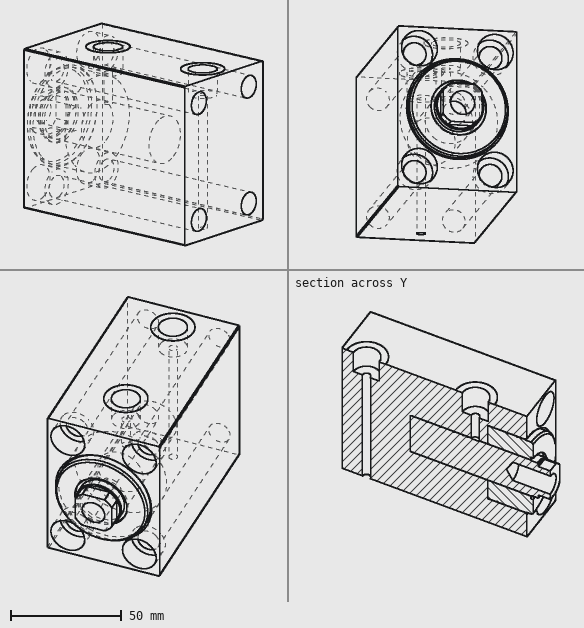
import cadquery as cq

TOTAL_LENGTH = 107.0
ROD_PROTRUSION = 12.0
HOUSING_LENGTH = TOTAL_LENGTH - ROD_PROTRUSION
HOUSING_WIDTH = 55.0
HOUSING_HEIGHT = 75.0
EDGE_CHAMFER = 0.5

BOLT_SPACING_Y = 35.0
BOLT_SPACING_Z = 55.0
BOLT_DIAMETER = 10.5
BOLT_HEAD_DIAMETER = 16.5
BOLT_HEAD_DEPTH = 10.7

FRONT_PORT_X = 26.5
REAR_PORT_X = 82.5
PORT_DIAMETER = 13.2
PORT_DEPTH = 12.0
PORT_DRILL_DIAMETER = 4.0
SPOTFACE_DIAMETER = 20.0
SPOTFACE_DEPTH = 0.1

GLAND_DIAMETER = 45.0
GLAND_PROTRUSION = 3.2
GLAND_DEPTH = 20.0
GLAND_CHAMFER = 1.0
WIPER_RECESS_DIAMETER = 25.5
WIPER_RECESS_DEPTH = 1.3
BORE_CHAMFER = 1.0

ROD_DIAMETER = 22.0
ROD_DEPTH = 59.9
ROD_SHOULDER_CHAMFER = 0.5
HEAD_LENGTH = 6.0
HEAD_ACROSS_FLATS = 18.0
HEAD_CORNER_DIAMETER = ROD_DIAMETER - 2 * ROD_SHOULDER_CHAMFER
ROD_HOLE_DIAMETER = 11.0
ROD_HOLE_DEPTH = 19.3
DRILL_POINT_LENGTH = 3.2


def rod_axis_cylinder(diameter, start, end):
    """Cylinder on the X axis between two X positions."""
    return cq.Workplane("YZ", origin=(start, 0, 0)).circle(diameter / 2).extrude(end - start)


def vertical_cylinder(diameter, x, bottom, top):
    """Cylinder parallel to Z at the given X position."""
    return cq.Workplane("XY", origin=(x, 0, bottom)).circle(diameter / 2).extrude(top - bottom)


def cut_bolt_holes(body):
    front_face = cq.Workplane("YZ").rect(BOLT_SPACING_Y, BOLT_SPACING_Z, forConstruction=True).vertices()
    through_holes = front_face.circle(BOLT_DIAMETER / 2).extrude(HOUSING_LENGTH)
    head_recesses = front_face.circle(BOLT_HEAD_DIAMETER / 2).extrude(BOLT_HEAD_DEPTH)
    return body.cut(through_holes).cut(head_recesses)


def cut_port(body, x, drill_bottom):
    top = HOUSING_HEIGHT / 2
    body = body.cut(vertical_cylinder(SPOTFACE_DIAMETER, x, top - SPOTFACE_DEPTH, top))
    body = body.cut(vertical_cylinder(PORT_DIAMETER, x, top - PORT_DEPTH, top))
    return body.cut(vertical_cylinder(PORT_DRILL_DIAMETER, x, drill_bottom, top))


def make_housing():
    block = cq.Workplane("YZ").rect(HOUSING_WIDTH, HOUSING_HEIGHT).extrude(HOUSING_LENGTH)
    block = block.edges("|X").chamfer(EDGE_CHAMFER)
    block = cut_bolt_holes(block)
    block = cut_port(block, FRONT_PORT_X, drill_bottom=0)
    block = cut_port(block, REAR_PORT_X, drill_bottom=-HOUSING_HEIGHT / 2)
    block = block.cut(rod_axis_cylinder(GLAND_DIAMETER, 0, GLAND_DEPTH))
    block = block.cut(rod_axis_cylinder(ROD_DIAMETER, 0, ROD_DEPTH))
    bore_radius = GLAND_DIAMETER / 2
    mouth_radius = bore_radius + BORE_CHAMFER
    lead_in = cq.Solid.makeCone(
        mouth_radius, bore_radius, BORE_CHAMFER, cq.Vector(0, 0, 0), cq.Vector(1, 0, 0)
    )
    return block.cut(cq.Workplane(lead_in))


def make_gland():
    gland = rod_axis_cylinder(GLAND_DIAMETER, -GLAND_PROTRUSION, GLAND_DEPTH)
    gland = gland.faces("<X").chamfer(GLAND_CHAMFER)
    gland = gland.cut(rod_axis_cylinder(ROD_DIAMETER, -GLAND_PROTRUSION, GLAND_DEPTH))
    recess_floor = WIPER_RECESS_DEPTH - GLAND_PROTRUSION
    return gland.cut(rod_axis_cylinder(WIPER_RECESS_DIAMETER, -GLAND_PROTRUSION, recess_floor))


def make_rod():
    shoulder = HEAD_LENGTH - ROD_PROTRUSION
    shaft = rod_axis_cylinder(ROD_DIAMETER, shoulder, ROD_DEPTH)
    shaft = shaft.faces("<X").chamfer(ROD_SHOULDER_CHAMFER)
    head = rod_axis_cylinder(HEAD_CORNER_DIAMETER, -ROD_PROTRUSION, shoulder)
    square = cq.Workplane("YZ", origin=(-ROD_PROTRUSION, 0, 0)).rect(HEAD_ACROSS_FLATS, HEAD_ACROSS_FLATS)
    head = head.intersect(square.extrude(HEAD_LENGTH))
    hole = (
        cq.Workplane("XY", origin=(-ROD_PROTRUSION, 0, 0))
        .lineTo(0, ROD_HOLE_DIAMETER / 2)
        .lineTo(ROD_HOLE_DEPTH, ROD_HOLE_DIAMETER / 2)
        .lineTo(ROD_HOLE_DEPTH + DRILL_POINT_LENGTH, 0)
        .close()
        .revolve(360, (0, 0, 0), (1, 0, 0))
    )
    return shaft.union(head).cut(hole)


housing = make_housing()
gland = make_gland()
rod = make_rod()

result = cq.Compound.makeCompound([housing.val(), gland.val(), rod.val()])